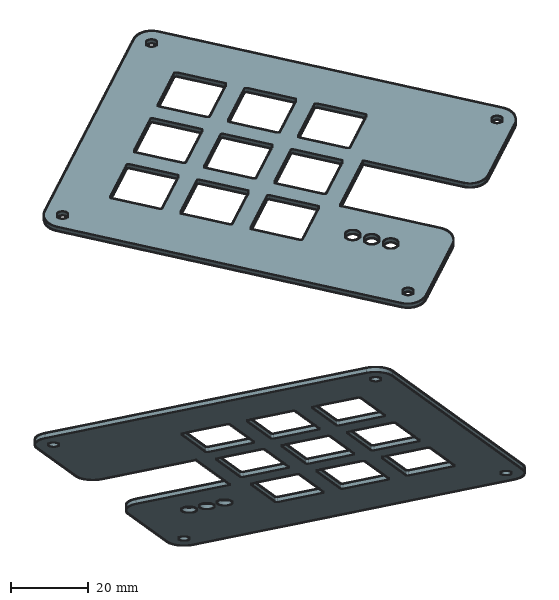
import cadquery as cq

plate_length = 103.6
plate_width = 81.2
plate_thickness = 1.5
corner_radius = 5.0

notch_floor_x = 19.5
notch_width = 18.8

mount_hole_diameter = 2.9
mount_hole_inset = 4.9

key_count = 3
key_size = 14.1
key_pitch = 19.1
key_corner_radius = 0.5
key_grid_center = (-11.5, 0.7)

row_hole_count = 3
row_hole_diameter = 4.0
row_hole_pitch = 5.2
row_center = (31.5, -19.3)


def make_plate():
    """Plate with a side notch; every corner on the outer sides is rounded."""
    notch_depth = plate_length / 2 - notch_floor_x
    notch = (
        cq.Workplane("XY")
        .center(notch_floor_x + notch_depth / 2, 0)
        .rect(notch_depth, notch_width)
        .extrude(plate_thickness)
    )
    plate = cq.Workplane("XY").rect(plate_length, plate_width).extrude(plate_thickness).cut(notch)
    outer_corners = plate.faces("<X or >X").edges("|Z")
    return outer_corners.fillet(corner_radius)


def make_mount_holes():
    return (
        cq.Workplane("XY")
        .rect(
            plate_length - 2 * mount_hole_inset,
            plate_width - 2 * mount_hole_inset,
            forConstruction=True,
        )
        .vertices()
        .circle(mount_hole_diameter / 2)
        .extrude(plate_thickness)
    )


def make_key_openings():
    return (
        cq.Workplane("XY")
        .center(*key_grid_center)
        .rarray(key_pitch, key_pitch, key_count, key_count)
        .rect(key_size, key_size)
        .extrude(plate_thickness)
        .edges("|Z")
        .fillet(key_corner_radius)
    )


def make_row_holes():
    return (
        cq.Workplane("XY")
        .center(*row_center)
        .rarray(row_hole_pitch, 1, row_hole_count, 1)
        .circle(row_hole_diameter / 2)
        .extrude(plate_thickness)
    )


result = make_plate().cut(make_mount_holes()).cut(make_key_openings()).cut(make_row_holes())